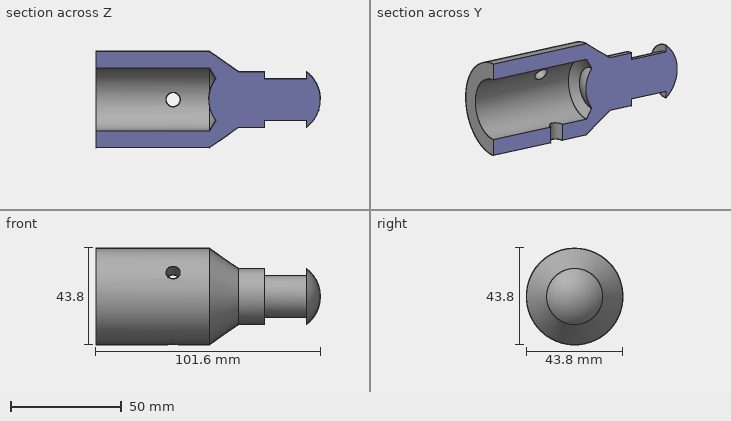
import cadquery as cq
import math

BODY_DIAMETER = 43.81
BODY_LENGTH = 51.35

SHOULDER_ANGLE = 35.0
COLLAR_DIAMETER = 25.4
COLLAR_END = 76.35

STEM_DIAMETER = 19.05
HEAD_DIAMETER = 25.4
HEAD_HEIGHT = 6.35
TOTAL_LENGTH = 101.6

BORE_DIAMETER = 28.38
BORE_DEPTH = BODY_LENGTH
FUNNEL_ANGLE = 59.0
DOME_HEIGHT = HEAD_HEIGHT / 2

CROSS_HOLE_DIAMETER = 6.35
CROSS_HOLE_X = 34.925
CROSS_HOLE_COUNT = 3
FIRST_CROSS_HOLE_ANGLE = 30.0

BODY_RADIUS = BODY_DIAMETER / 2
COLLAR_RADIUS = COLLAR_DIAMETER / 2
STEM_RADIUS = STEM_DIAMETER / 2
HEAD_RADIUS = HEAD_DIAMETER / 2
BORE_RADIUS = BORE_DIAMETER / 2


def taper_length(large_radius, small_radius, angle):
    """Axial length of a cone between two radii, sloping at an angle to the axis."""
    return (large_radius - small_radius) / math.tan(math.radians(angle))


def cap_midpoint(edge_x, edge_radius, height):
    """Point halfway along the arc of a spherical cap; a negative height points the cap towards -X."""
    depth = abs(height)
    sphere_radius = (edge_radius**2 + depth**2) / (2 * depth)
    half_angle = math.asin(edge_radius / sphere_radius) / 2
    rise = depth - sphere_radius * (1 - math.cos(half_angle))
    return edge_x + math.copysign(rise, height), sphere_radius * math.sin(half_angle)


def make_turned_body():
    """Body, shoulder, collar, stem and head as one revolved profile, including the bore."""
    collar_start = BODY_LENGTH + taper_length(BODY_RADIUS, COLLAR_RADIUS, SHOULDER_ANGLE)
    head_start = TOTAL_LENGTH - HEAD_HEIGHT
    funnel_end = BORE_DEPTH + taper_length(BORE_RADIUS, STEM_RADIUS, FUNNEL_ANGLE)
    profile = (
        cq.Workplane("XY")
        .moveTo(0, BORE_RADIUS)
        .lineTo(0, BODY_RADIUS)
        .lineTo(BODY_LENGTH, BODY_RADIUS)
        .lineTo(collar_start, COLLAR_RADIUS)
        .lineTo(COLLAR_END, COLLAR_RADIUS)
        .lineTo(COLLAR_END, STEM_RADIUS)
        .lineTo(head_start, STEM_RADIUS)
        .lineTo(head_start, HEAD_RADIUS)
        .threePointArc(cap_midpoint(head_start, HEAD_RADIUS, HEAD_HEIGHT), (TOTAL_LENGTH, 0))
        .lineTo(funnel_end - DOME_HEIGHT, 0)
        .threePointArc(cap_midpoint(funnel_end, STEM_RADIUS, -DOME_HEIGHT), (funnel_end, STEM_RADIUS))
        .lineTo(BORE_DEPTH, BORE_RADIUS)
        .close()
    )
    return profile.revolve(360, (0, 0, 0), (1, 0, 0))


def make_cross_hole(angle):
    """Cutter running from the axis out through the body wall."""
    direction = cq.Vector(0, math.cos(math.radians(angle)), math.sin(math.radians(angle)))
    start = cq.Vector(CROSS_HOLE_X, 0, 0)
    return cq.Solid.makeCylinder(CROSS_HOLE_DIAMETER / 2, BODY_DIAMETER, start, direction)


result = make_turned_body()
for hole_index in range(CROSS_HOLE_COUNT):
    hole_angle = FIRST_CROSS_HOLE_ANGLE + hole_index * 360 / CROSS_HOLE_COUNT
    result = result.cut(cq.Workplane(make_cross_hole(hole_angle)))